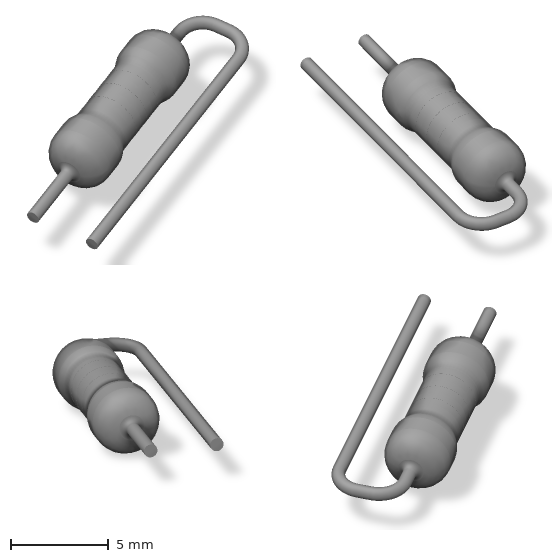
import cadquery as cq

total_length = 16.35
total_width = 5.6

lead_diameter = 0.7
lead_radius = lead_diameter / 2
bend_radius = 1.39

cap_diameter = 3.5
waist_diameter = 3.0
groove_diameter = 2.98
body_center = 8.6
band_count = 7
waist_half_length = 1.81
cap_inner = 2.81
cap_outer = 3.78
dome_end = 5.0
collar_flare = 0.33

cap_radius = cap_diameter / 2
waist_radius = waist_diameter / 2
shoulder_radius = (cap_radius + waist_radius) / 2
shoulder_middle = (cap_inner + waist_half_length) / 2
lead_pitch = total_width - cap_radius - lead_radius
bend_start = total_length - lead_radius - bend_radius


def make_half_body():
    """Revolve the half towards +Y, centred on the origin."""
    profile = (
        cq.Workplane("XY")
        .lineTo(waist_radius, 0)
        .lineTo(waist_radius, waist_half_length)
        .tangentArcPoint((shoulder_radius, shoulder_middle), relative=False)
        .tangentArcPoint((cap_radius, cap_inner), relative=False)
        .lineTo(cap_radius, cap_outer)
        .tangentArcPoint((lead_radius + collar_flare, dome_end), relative=False)
        .radiusArc((lead_radius, dome_end + collar_flare), collar_flare)
        .lineTo(0, dome_end + collar_flare)
        .close()
    )
    return profile.revolve(360, (0, 0, 0), (0, 1, 0))


def make_groove(center_y, width):
    """Ring that thins the waist over one colour band."""
    return (
        cq.Workplane("XZ", origin=(0, center_y + width / 2, 0))
        .circle(waist_radius + 0.16)
        .circle(groove_diameter / 2)
        .extrude(width)
    )


def make_body():
    half = make_half_body()
    body = half.union(half.mirror("XZ"))
    band_width = 2 * waist_half_length / band_count
    for band in range(1, band_count, 2):
        band_center = (band + 0.5) * band_width - waist_half_length
        body = body.cut(make_groove(band_center, band_width))
    return body.translate((0, body_center, 0))


def make_lead():
    """One wire through the body, bent back alongside it."""
    bend_top = bend_start + bend_radius
    path = (
        cq.Workplane("XY")
        .lineTo(0, bend_start)
        .tangentArcPoint((bend_radius, bend_top), relative=False)
        .lineTo(lead_pitch - bend_radius, bend_top)
        .tangentArcPoint((lead_pitch, bend_start), relative=False)
        .lineTo(lead_pitch, 0)
    )
    return cq.Workplane("XZ").circle(lead_radius).sweep(path)


result = make_body().union(make_lead())